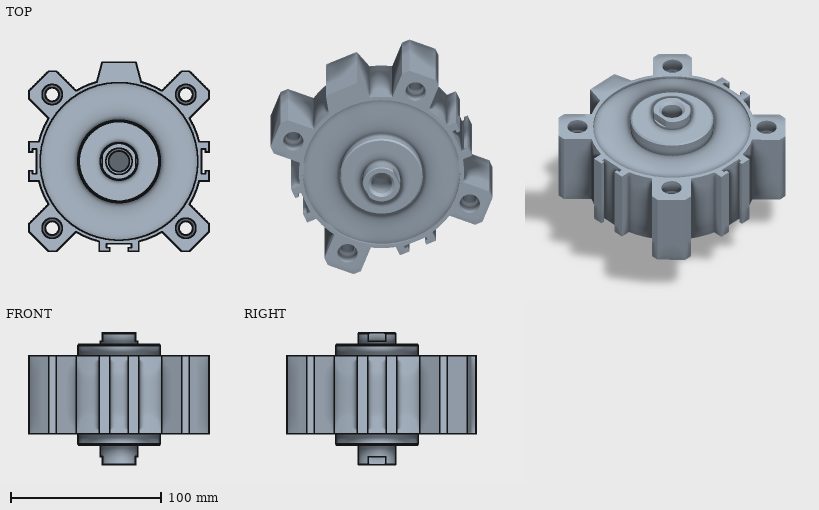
import cadquery as cq
import math

housing_height = 52.0
barrel_diameter = 110.0
recess_diameter = 105.0
recess_depth = 2.0
half_height = housing_height / 2

boss_diameter = 55.0
boss_protrusion = 7.75
boss_chamfer = 1.0
boss_top = half_height + boss_protrusion

envelope_half = 60.0

lug_width = 26.0
lug_reach = 75.6
mount_spacing = 89.0
mount_diameter = 9.0
counterbore_diameter = 13.5
counterbore_depth = 8.5
lug_angles = (45, 135, 225, 315)

rail_width = 26.4
slot_mouth_width = 12.2
slot_inner_width = 16.4
slot_depth = 5.0
slot_lip = 2.5
rail_angles = (0, 180, 270)

port_face_y = 66.0
port_face_width = 22.6
port_side_angle = 15.0
port_root_overlap = 5.0

rod_diameter = 25.0
rod_top_protrusion = 7.5
rod_bottom_protrusion = 13.0
rod_chamfer = 0.5
flat_spacing = 22.0
flat_height = 5.5
thread_diameter = 13.84
thread_depth = 26.0
thread_mouth_diameter = 17.5
rod_top = boss_top + rod_top_protrusion
rod_bottom = -boss_top - rod_bottom_protrusion


def prism(sketch):
    """Extrude a closed outline over the full housing height."""
    return sketch.extrude(housing_height)


def housing_plane():
    """Plane on the lower end of the housing."""
    return cq.Workplane("XY", origin=(0, 0, -half_height))


def make_lugs():
    """Four diagonal bars, trimmed square at their corners by the envelope."""
    lugs = cq.Workplane("XY")
    for angle in lug_angles:
        bar = prism(housing_plane().center(lug_reach / 2, 0).rect(lug_reach, lug_width))
        lugs = lugs.add(bar.rotate((0, 0, 0), (0, 0, 1), angle))
    envelope = prism(housing_plane().rect(2 * envelope_half, 2 * envelope_half))
    return lugs.combine().intersect(envelope)


def make_rail():
    """Bar reaching out along +X from the axis."""
    return prism(housing_plane().center(envelope_half / 2, 0).rect(envelope_half, rail_width))


def make_slot():
    """T-slot cutter for the rail on the +X side."""
    mouth_x = envelope_half - slot_depth / 2
    mouth = prism(housing_plane().center(mouth_x, 0).rect(slot_depth, slot_mouth_width))
    inner_depth = slot_depth - slot_lip
    inner_x = envelope_half - slot_lip - inner_depth / 2
    inner = prism(housing_plane().center(inner_x, 0).rect(inner_depth, slot_inner_width))
    return mouth.union(inner)


def make_port_block():
    """Block that widens from its outer face towards the barrel."""
    root_y = barrel_diameter / 2 - port_root_overlap
    face_half = port_face_width / 2
    root_half = face_half + (port_face_y - root_y) * math.tan(math.radians(port_side_angle))
    outline = [
        (-face_half, port_face_y),
        (face_half, port_face_y),
        (root_half, root_y),
        (-root_half, root_y),
    ]
    return prism(housing_plane().polyline(outline).close())


def make_mount_holes():
    """Through holes with a counterbore at both ends."""
    holes = (
        housing_plane().rect(mount_spacing, mount_spacing, forConstruction=True).vertices()
        .circle(mount_diameter / 2).extrude(housing_height)
    )
    for start in (-half_height, half_height - counterbore_depth):
        bores = (
            cq.Workplane("XY", origin=(0, 0, start))
            .rect(mount_spacing, mount_spacing, forConstruction=True).vertices()
            .circle(counterbore_diameter / 2).extrude(counterbore_depth)
        )
        holes = holes.union(bores)
    return holes


def make_housing():
    body = prism(housing_plane().circle(barrel_diameter / 2))
    body = body.union(make_lugs()).union(make_port_block())
    for angle in rail_angles:
        body = body.union(make_rail().rotate((0, 0, 0), (0, 0, 1), angle))
    for angle in rail_angles:
        body = body.cut(make_slot().rotate((0, 0, 0), (0, 0, 1), angle))
    body = body.cut(make_mount_holes())

    for start in (-half_height, half_height - recess_depth):
        recess = cq.Workplane("XY", origin=(0, 0, start)).circle(recess_diameter / 2).extrude(recess_depth)
        body = body.cut(recess)

    bosses = (
        cq.Workplane("XY").circle(boss_diameter / 2).extrude(boss_top, both=True)
        .faces("<Z or >Z").chamfer(boss_chamfer)
    )
    rod_bore = cq.Workplane("XY").circle(rod_diameter / 2).extrude(boss_top, both=True)
    return body.union(bosses).cut(rod_bore)


def make_threaded_hole():
    """Blind hole with a 45 degree mouth, entering downwards from the origin."""
    hole_radius = thread_diameter / 2
    mouth_radius = thread_mouth_diameter / 2
    profile = [
        (0, 0),
        (mouth_radius, 0),
        (hole_radius, hole_radius - mouth_radius),
        (hole_radius, -thread_depth),
        (0, -thread_depth),
    ]
    return cq.Workplane("XZ").polyline(profile).close().revolve(360, (0, 0, 0), (0, 1, 0))


def make_rod():
    length = rod_top - rod_bottom
    rod = (
        cq.Workplane("XY", origin=(0, 0, rod_bottom)).circle(rod_diameter / 2).extrude(length)
        .faces("<Z or >Z").chamfer(rod_chamfer)
    )

    for start in (rod_bottom, rod_top - flat_height):
        end_plane = cq.Workplane("XY", origin=(0, 0, start))
        flats = (
            end_plane.rect(2 * rod_diameter, 2 * rod_diameter)
            .rect(flat_spacing, 2 * rod_diameter).extrude(flat_height)
        )
        rod = rod.cut(flats)

    hole = make_threaded_hole()
    rod = rod.cut(hole.translate((0, 0, rod_top)))
    return rod.cut(hole.rotate((0, 0, 0), (1, 0, 0), 180).translate((0, 0, rod_bottom)))


housing = make_housing()
rod = make_rod()

result = cq.Compound.makeCompound([housing.val(), rod.val()])